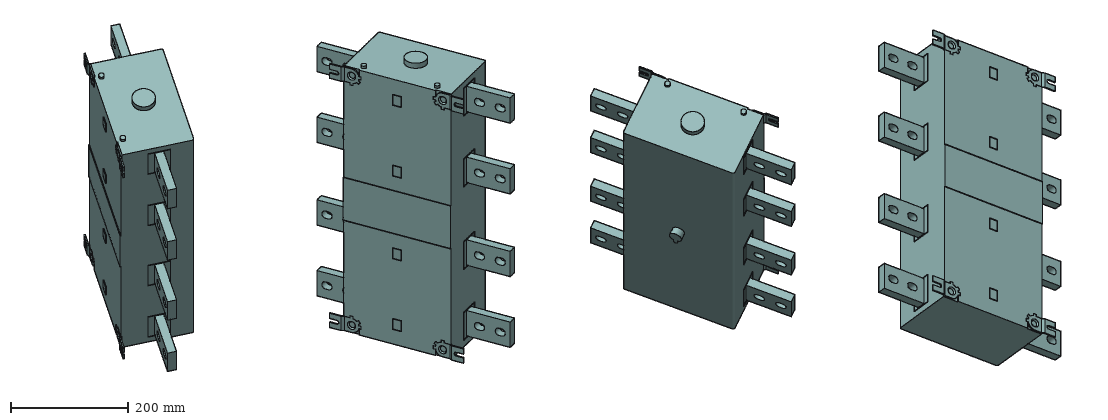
import cadquery as cq
BODY_WIDTH = 206.5
BODY_DEPTH = 129.5
BODY_HEIGHT = 524.5
BACK_FILLET = 4.0

FRONT_RELIEF = 1.5
PANEL_HEIGHT = 85.0
WINDOW_WIDTH = 16.0
WINDOW_HEIGHT = 21.0

BAR_LEVELS = (-222.0, -82.0, 82.0, 222.0)
BAR_LENGTH = 372.0
BAR_THICKNESS = 16.0
BAR_HEIGHT = 50.0
BAR_Y = 68.0
HOLE_LENGTH = 19.0
HOLE_HEIGHT = 14.0
HOLE_XS = (126.5, 167.0)
POCKET_WIDTH = 39.5
POCKET_HEIGHT = 54.5
POCKET_DEPTH = 1.0

TOP_BOSS_DIAMETER = 40.0
TOP_BOSS_HEIGHT = 534.5 - BODY_HEIGHT
PEG_DIAMETER = 9.5
PEG_HEIGHT = 5.0
PEG_X = 70.5
PEG_Y = 12.5

KNOB_DIAMETER = 22.5
KNOB_LENGTH = 13.5
POINTER_WIDTH = 7.5
POINTER_REACH = 18.0
POINTER_GAP = 4.0

SHEET = 2.5
RECESS_DEPTH = 2.0
TAB_OFFSET = 2.5
TAB_REACH = 25.5
TAB_BEND_START = 3.0
TAB_BEND_END = -1.5
PLATE_HEIGHT = 28.5
SCREW_INSET = 15.5
SLOT_WIDTH = 7.5
SLOT_DEPTH = 17.5
SINK_DIAMETER = 15.5
SINK_FLOOR_DIAMETER = 11.0
LUG_WIDTH = 6.0
LUG_REACH = 18.0
LUG_ANGLES = (180, 215, 270)

HALF_WIDTH = BODY_WIDTH / 2
HALF_HEIGHT = BODY_HEIGHT / 2
PLATE_FRONT = RECESS_DEPTH - SHEET
PLATE_RADIUS = PLATE_HEIGHT / 2
SCREW_X = HALF_WIDTH - SCREW_INSET
SCREW_Z = HALF_HEIGHT - SCREW_INSET


def block(x_range, y_range, z_range):
    """Box between two limits along each axis."""
    size = [high - low for low, high in (x_range, y_range, z_range)]
    corner = (x_range[0], y_range[0], z_range[0])
    return cq.Workplane("XY").box(*size, centered=False).translate(corner)


def front_plane(y=0):
    """Sketch plane parallel to the front face; extrusions run towards -Y."""
    return cq.Workplane("XZ", origin=(0, y, 0))


def housing():
    body = cq.Workplane("XY").box(BODY_WIDTH, BODY_DEPTH, BODY_HEIGHT)
    body = body.translate((0, BODY_DEPTH / 2, 0))
    body = body.edges("|Z and >Y").fillet(BACK_FILLET)
    panel = front_plane().rect(BODY_WIDTH, PANEL_HEIGHT).extrude(FRONT_RELIEF)
    windows = (
        front_plane()
        .pushPoints([(0, level) for level in BAR_LEVELS])
        .rect(WINDOW_WIDTH, WINDOW_HEIGHT)
        .extrude(FRONT_RELIEF)
    )
    return body.union(panel).union(windows)


def add_terminals(body):
    """Sink a shallow pocket around each bar and pass the bar through."""
    hole_points = [(side * x, 0) for side in (-1, 1) for x in HOLE_XS]
    bar = (
        front_plane()
        .rect(BAR_LENGTH, BAR_HEIGHT)
        .extrude(BAR_THICKNESS / 2, both=True)
        .cut(
            front_plane()
            .pushPoints(hole_points)
            .slot2D(HOLE_LENGTH, HOLE_HEIGHT)
            .extrude(BAR_THICKNESS, both=True)
        )
    )
    pockets = cq.Workplane("XY").pushPoints([(-HALF_WIDTH, 0), (HALF_WIDTH, 0)])
    pockets = pockets.box(2 * POCKET_DEPTH, POCKET_WIDTH, POCKET_HEIGHT)
    for level in BAR_LEVELS:
        place = (0, BAR_Y, level)
        body = body.cut(pockets.translate(place)).union(bar.translate(place))
    return body


def top_parts():
    top = cq.Workplane("XY", origin=(0, 0, HALF_HEIGHT))
    boss = top.center(0, BAR_Y).circle(TOP_BOSS_DIAMETER / 2).extrude(TOP_BOSS_HEIGHT)
    pegs = top.pushPoints([(-PEG_X, PEG_Y), (PEG_X, PEG_Y)]).circle(PEG_DIAMETER / 2)
    return boss.union(pegs.extrude(PEG_HEIGHT))


def knob():
    """Round knob with a round-ended pointer hanging clear of the back face."""
    outer_face = front_plane(BODY_DEPTH + KNOB_LENGTH)
    shaft = outer_face.circle(KNOB_DIAMETER / 2).extrude(KNOB_LENGTH)
    arc_start_z = -POINTER_REACH + POINTER_WIDTH / 2
    pointer = (
        outer_face
        .moveTo(-POINTER_WIDTH / 2, 0)
        .lineTo(-POINTER_WIDTH / 2, arc_start_z)
        .threePointArc((0, -POINTER_REACH), (POINTER_WIDTH / 2, arc_start_z))
        .lineTo(POINTER_WIDTH / 2, 0)
        .close()
        .extrude(KNOB_LENGTH - POINTER_GAP)
    )
    return shaft.union(pointer)


def bracket_recess():
    """Pocket in the top right front corner, open to the side and the top."""
    depth = (0, RECESS_DEPTH)
    side = block((SCREW_X, HALF_WIDTH), depth, (SCREW_Z - PLATE_RADIUS, HALF_HEIGHT))
    top = block((SCREW_X - PLATE_RADIUS, SCREW_X), depth, (SCREW_Z, HALF_HEIGHT))
    round_end = front_plane(RECESS_DEPTH).center(SCREW_X, SCREW_Z)
    round_end = round_end.circle(PLATE_RADIUS).extrude(RECESS_DEPTH)
    return side.union(top).union(round_end)


def bracket():
    """Bracket of the top right corner, with its slotted tab beyond the side face."""
    tab_end = HALF_WIDTH + TAB_REACH
    bend_start = HALF_WIDTH + TAB_BEND_END
    bend_end = HALF_WIDTH + TAB_BEND_START
    tab_front = PLATE_FRONT - TAB_OFFSET
    strip = (
        cq.Workplane("XY", origin=(0, 0, SCREW_Z))
        .polyline([
            (SCREW_X, RECESS_DEPTH),
            (HALF_WIDTH, RECESS_DEPTH),
            (bend_end, tab_front + SHEET),
            (tab_end, tab_front + SHEET),
            (tab_end, tab_front),
            (bend_end, tab_front),
            (bend_start, PLATE_FRONT),
            (SCREW_X, PLATE_FRONT),
        ])
        .close()
        .extrude(PLATE_HEIGHT / 2, both=True)
    )
    slot = (
        front_plane()
        .center(tab_end, SCREW_Z)
        .slot2D(2 * SLOT_DEPTH, SLOT_WIDTH)
        .extrude(2 * SHEET, both=True)
    )
    plate = front_plane(RECESS_DEPTH).center(SCREW_X, SCREW_Z)
    plate = plate.circle(PLATE_RADIUS).extrude(SHEET)
    for angle in LUG_ANGLES:
        lug = block((0, LUG_REACH), (PLATE_FRONT, RECESS_DEPTH), (-LUG_WIDTH / 2, LUG_WIDTH / 2))
        lug = lug.rotate((0, 0, 0), (0, -1, 0), angle)
        plate = plate.union(lug.translate((SCREW_X, 0, SCREW_Z)))
    countersink = (
        front_plane(RECESS_DEPTH)
        .center(SCREW_X, SCREW_Z)
        .circle(SINK_FLOOR_DIAMETER / 2)
        .workplane(offset=SHEET)
        .circle(SINK_DIAMETER / 2)
        .loft()
    )
    return strip.cut(slot).union(plate).cut(countersink)


def at_four_corners(shape):
    """The shape and its mirror images on both sides and at both ends."""
    pair = shape.union(shape.mirror("YZ"))
    return pair.union(pair.mirror("XY"))


result = add_terminals(housing())
result = result.union(top_parts()).union(knob())
result = result.cut(at_four_corners(bracket_recess())).union(at_four_corners(bracket()))